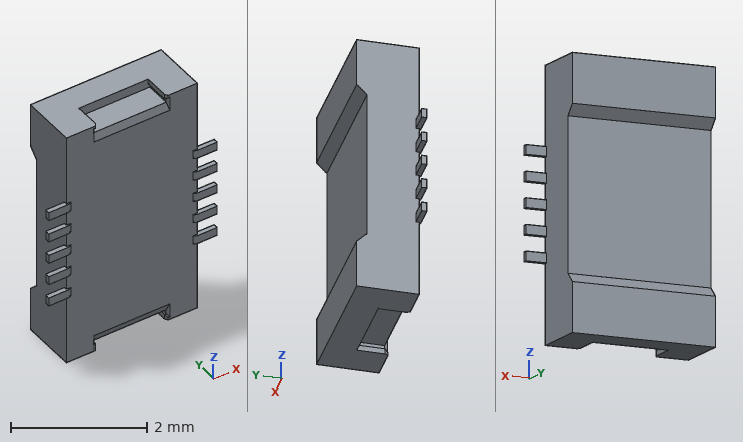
import cadquery as cq
HOUSING_WIDTH = 2.315
HOUSING_DEPTH = 0.95
HOUSING_LENGTH = 4.22

CHANNEL_DEPTH = 0.155
CHANNEL_MOUTH_LENGTH = 2.685

POCKET_DEPTH = 0.48
POCKET_HALF_WIDTH = 0.64
POCKET_HEIGHT = 0.16
LIP_OVERHANG = 0.03
LIP_HEIGHT = 0.09

LEAD_IN_DEPTH = 0.05
LEAD_IN_SIDE = 0.03
LEAD_IN_FLOOR = 0.13
LEAD_IN_LIP = 0.042

PINS_PER_SIDE = 5
PIN_PITCH = 0.4
PIN_SPAN = 2.98
PIN_WIDTH = 0.148
PIN_THICKNESS = 0.08
PIN_PROTRUSION = 0.03
PIN_BEND_RADIUS = 0.125


def make_housing():
    end_z = HOUSING_LENGTH / 2
    channel_floor_y = HOUSING_DEPTH - CHANNEL_DEPTH
    mouth_z = CHANNEL_MOUTH_LENGTH / 2
    floor_z = mouth_z - CHANNEL_DEPTH
    side_profile = [
        (0, -end_z),
        (HOUSING_DEPTH, -end_z),
        (HOUSING_DEPTH, -mouth_z),
        (channel_floor_y, -floor_z),
        (channel_floor_y, floor_z),
        (HOUSING_DEPTH, mouth_z),
        (HOUSING_DEPTH, end_z),
        (0, end_z),
    ]
    return cq.Workplane("YZ").polyline(side_profile).close().extrude(HOUSING_WIDTH / 2, both=True)


def pocket_section(y, half_width, floor_depth, lip_height):
    """T-shaped pocket outline at depth y, narrow at the end face."""
    end_z = HOUSING_LENGTH / 2
    lip_half_width = half_width - LIP_OVERHANG
    lip_z = end_z - lip_height
    floor_z = end_z - floor_depth
    return cq.Workplane("XZ", origin=(0, y, 0)).polyline([
        (-lip_half_width, end_z),
        (-lip_half_width, lip_z),
        (-half_width, lip_z),
        (-half_width, floor_z),
        (half_width, floor_z),
        (half_width, lip_z),
        (lip_half_width, lip_z),
        (lip_half_width, end_z),
    ]).close()


def make_pocket():
    inner = pocket_section(LEAD_IN_DEPTH, POCKET_HALF_WIDTH, POCKET_HEIGHT, LIP_HEIGHT)
    mouth = pocket_section(
        0,
        POCKET_HALF_WIDTH + LEAD_IN_SIDE,
        POCKET_HEIGHT + LEAD_IN_FLOOR,
        LIP_HEIGHT - LEAD_IN_LIP,
    )
    lead_in = cq.Solid.makeLoft([mouth.wire().val(), inner.wire().val()], True)
    return inner.extrude(LEAD_IN_DEPTH - POCKET_DEPTH).union(cq.Workplane(lead_in))


def make_pin(z):
    """Pin on the +X side: a flat foot that bends back into the housing."""
    tip_x = PIN_SPAN / 2
    bend_x = HOUSING_WIDTH / 2
    front_y = -PIN_PROTRUSION
    return (
        cq.Workplane("XY", origin=(0, 0, z - PIN_WIDTH / 2))
        .moveTo(bend_x, front_y)
        .lineTo(tip_x, front_y)
        .lineTo(tip_x, front_y + PIN_THICKNESS)
        .lineTo(bend_x, front_y + PIN_THICKNESS)
        .lineTo(bend_x, front_y + PIN_BEND_RADIUS)
        .lineTo(bend_x - PIN_BEND_RADIUS, front_y + PIN_BEND_RADIUS)
        .radiusArc((bend_x, front_y), -PIN_BEND_RADIUS)
        .close()
        .extrude(PIN_WIDTH)
    )


result = make_housing()

pocket = make_pocket()
result = result.cut(pocket).cut(pocket.mirror("XY"))

for index in range(PINS_PER_SIDE):
    pin = make_pin((index - (PINS_PER_SIDE - 1) / 2) * PIN_PITCH)
    result = result.union(pin).union(pin.mirror("YZ"))